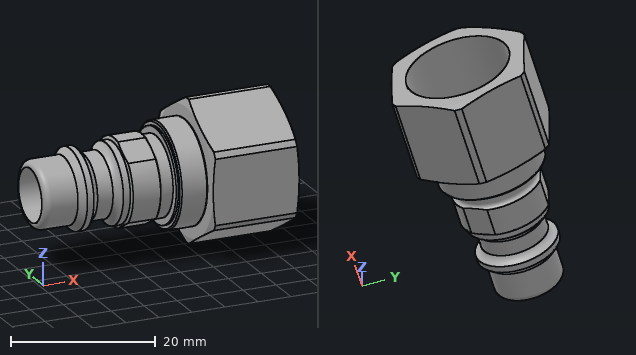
import cadquery as cq
import math


bead_start = 5.0
bead_rim_start = 6.0
bead_rim_end = 6.97
neck_start = 8.03
neck_end = 10.35
shoulder_start = 11.42
collar_start = 12.5
collar_end = 16.85
flange_start = 18.98

bore_diameter = 7.85
tip_diameter = 10.0
bead_diameter = 12.0
neck_diameter = 9.75
relief_diameter = 11.9
collar_diameter = 13.1
flange_diameter = 14.0

tip_fillet = 1.0
collar_cone_length = 0.2
neck_arc_radius = 2.0
collar_fillet = (collar_diameter - relief_diameter) / 2
collar_flat_distance = 6.25
collar_flat_count = 3

total_length = 36.5
sleeve_start = 19.3
hex_start = 23.47
sleeve_diameter = 15.5
sleeve_chamfer = 0.22
sleeve_end_chamfer = 0.2
across_flats = 19.0
across_corners = 21.4
hex_sides = 6
hex_chamfer_angle = 15.0
thread_bore_diameter = 14.95
thread_bore_start = hex_start


def cylinder(start, end, diameter):
    """Solid cylinder along X between two stations."""
    return cq.Workplane("YZ", origin=(start, 0, 0)).circle(diameter / 2).extrude(end - start)


def revolve_about_x(profile):
    """Turn a closed XY profile about the X axis."""
    return profile.revolve(360, (0, 0, 0), (1, 0, 0))


def make_nipple_blank():
    tip_radius = tip_diameter / 2
    bead_radius = bead_diameter / 2
    neck_radius = neck_diameter / 2
    collar_radius = collar_diameter / 2
    relief_radius = relief_diameter / 2
    flange_radius = flange_diameter / 2
    diagonal = math.sqrt(0.5)
    tip_arc_middle = tip_fillet * (1 - diagonal)
    collar_arc_middle = collar_fillet * (1 - diagonal)
    fillet_end = collar_end + collar_fillet
    profile = (
        cq.Workplane("XY")
        .moveTo(0, bore_diameter / 2)
        .lineTo(0, tip_radius - tip_fillet)
        .threePointArc((tip_arc_middle, tip_radius - tip_arc_middle), (tip_fillet, tip_radius))
        .lineTo(bead_start, tip_radius)
        .lineTo(bead_rim_start, bead_radius)
        .lineTo(bead_rim_end, bead_radius)
        .radiusArc((neck_start, neck_radius), -neck_arc_radius)
        .lineTo(neck_end, neck_radius)
        .radiusArc((shoulder_start, bead_radius), -neck_arc_radius)
        .lineTo(collar_start, bead_radius)
        .lineTo(collar_start + collar_cone_length, collar_radius)
        .lineTo(collar_end, collar_radius)
        .threePointArc(
            (collar_end + collar_arc_middle, relief_radius + collar_arc_middle),
            (fillet_end, relief_radius),
        )
        .lineTo(flange_start, relief_radius)
        .lineTo(flange_start, flange_radius)
        .lineTo(thread_bore_start, flange_radius)
        .lineTo(thread_bore_start, bore_diameter / 2)
        .close()
    )
    return revolve_about_x(profile)


def cut_collar_flats(nipple):
    """Cut equally spaced flats on the collar, the first one facing +Y."""
    cutter_depth = collar_diameter / 2
    length = collar_end + collar_fillet - collar_start
    cutter = cq.Workplane("XY").box(length, cutter_depth, collar_diameter, centered=(False, False, True))
    cutter = cutter.translate((collar_start, collar_flat_distance, 0))
    for index in range(collar_flat_count):
        angle = index * 360 / collar_flat_count
        nipple = nipple.cut(cutter.rotate((0, 0, 0), (1, 0, 0), angle))
    return nipple


def make_hexagon():
    """Hexagon with flats facing +Y and -Y, rounded corners and chamfered ends."""
    corner_radius = across_corners / 2
    flat_radius = across_flats / 2
    sharp_corner_diameter = across_flats / math.cos(math.pi / hex_sides)
    prism = (
        cq.Workplane("YZ", origin=(hex_start, 0, 0))
        .polygon(hex_sides, sharp_corner_diameter)
        .extrude(total_length - hex_start)
        .rotate((0, 0, 0), (1, 0, 0), 90)
    )
    chamfer_length = (corner_radius - flat_radius) * math.tan(math.radians(hex_chamfer_angle))
    envelope = (
        cq.Workplane("XY")
        .moveTo(hex_start, 0)
        .lineTo(hex_start, flat_radius)
        .lineTo(hex_start + chamfer_length, corner_radius)
        .lineTo(total_length - chamfer_length, corner_radius)
        .lineTo(total_length, flat_radius)
        .lineTo(total_length, 0)
        .close()
    )
    return prism.intersect(revolve_about_x(envelope))


def make_socket():
    sleeve = cylinder(sleeve_start, hex_start, sleeve_diameter)
    sleeve = sleeve.faces("<X").chamfer(sleeve_chamfer)
    sleeve = sleeve.faces(">X").chamfer(sleeve_end_chamfer)
    nipple_seat = cylinder(sleeve_start, thread_bore_start, flange_diameter)
    thread_bore = cylinder(thread_bore_start, total_length, thread_bore_diameter)
    return make_hexagon().union(sleeve).cut(nipple_seat).cut(thread_bore)


nipple = cut_collar_flats(make_nipple_blank())
socket = make_socket()

result = cq.Compound.makeCompound([nipple.val(), socket.val()])